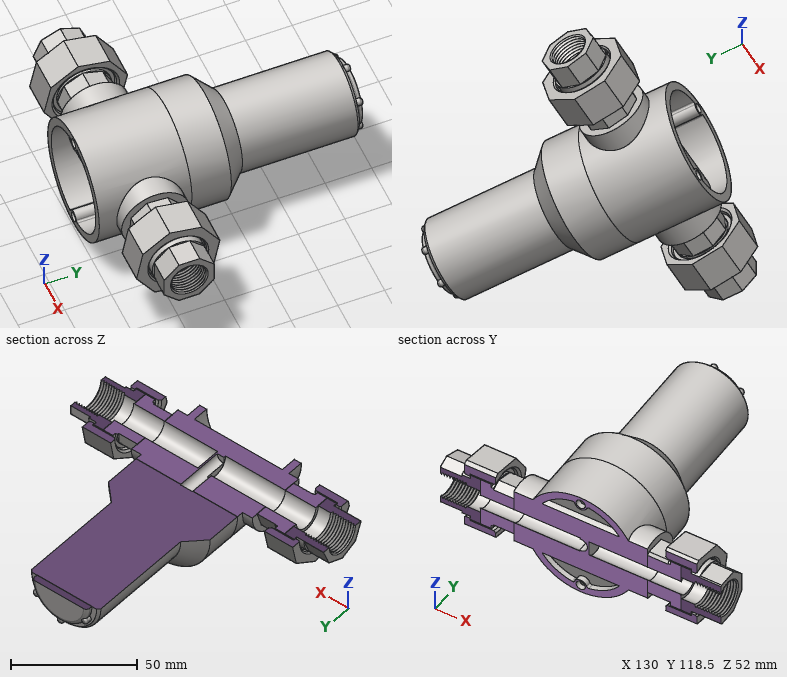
import cadquery as cq
import math


HOUSING_D = 52.0
MOUTH_Y = -22.0
JOINT_Y = 17.7
CAVITY_D = 44.7
CAVITY_DEPTH = 19.5
PORT_D = 29.0
PORT_FACE_X = 31.0
BORE_D = 12.0
INLET_END_X = -0.4
OUTLET_END_X = 3.9
STEM_HOLE_D = 6.0
STEM_HOLE_END_Y = -5.0
SCREW_BOSS_D = 6.0
SCREW_HOLE_D = 4.0
SCREW_Z = 22.4
SCREW_BLEND_R = 0.9

SHOULDER_Y = 34.6
SLEEVE_D = 35.5
SLEEVE_TOP_Y = 93.5
SLEEVE_CHAMFER = 1.2

KNOB_TOP_Y = 96.5
KNOB_D = 28.3
KNOB_ROUNDING = 1.8
GRIP_D = 3.1
GRIP_CIRCLE_R = KNOB_D / 2
GRIP_COUNT = 6
GRIP_ROUNDING = 1.0

SIDES = 8
HUB_OCTAGON_X = 40.3
HUB_COLLAR_X = 41.3
NUT_START_X = 39.3
NUT_END_X = 53.8
TAIL_OCTAGON_X = 55.0
TAIL_END_X = 65.0
SEAT_X = 46.5
LIP_THICKNESS = 2.6
HUB_CORNER_D = 23.5
NUT_CORNER_D = 36.4
COLLAR_D = 23.3
FLANGE_D = 26.5
NUT_BORE_D = 27.2
NUT_OPENING_D = 29.0
LIP_BORE_D = 24.8
LIP_CHAMFER = 0.6
THREAD_MINOR_D = 15.0
THREAD_MAJOR_D = 17.0
THREAD_ENTRY_D = 16.1
THREAD_PITCH = 1.3
THREAD_TURNS = 9

LEFT_TURNS = {"hub": 4.6, "nut": 10.3, "tail": 0.0}
RIGHT_TURNS = {"hub": 18.4, "nut": 11.3, "tail": 22.5}


def rod_x(start, end, diameter):
    """Round rod along X."""
    return cq.Workplane("YZ", origin=(start, 0, 0)).circle(diameter / 2).extrude(end - start)


def rod_y(start, end, diameter, x=0.0, z=0.0):
    """Round rod along Y with its axis at (x, z)."""
    base = cq.Workplane(cq.Plane(origin=(x, start, z), xDir=(1, 0, 0), normal=(0, 1, 0)))
    return base.circle(diameter / 2).extrude(end - start)


def octagon_x(start, end, corner_d, turn):
    """Octagonal bar along X, turned about its axis."""
    bar = cq.Workplane("YZ", origin=(start, 0, 0)).polygon(SIDES, corner_d).extrude(end - start)
    return bar.rotate((0, 0, 0), (1, 0, 0), turn)


def revolve_x(profile):
    """Solid of revolution about X from (x, radius) points."""
    return cq.Workplane("XY").polyline(profile).close().revolve(360, (0, 0, 0), (1, 0, 0))


def make_cavity():
    """Round pocket in the mouth, indented by the two screw bosses."""
    back_y = MOUTH_Y + CAVITY_DEPTH
    cavity = rod_y(MOUTH_Y, back_y, CAVITY_D)
    for z in (-SCREW_Z, SCREW_Z):
        cavity = cavity.cut(rod_y(MOUTH_Y, back_y, SCREW_BOSS_D, z=z))
    return cavity.edges("|Y").fillet(SCREW_BLEND_R)


def make_housing():
    port = rod_x(-PORT_FACE_X, PORT_FACE_X, PORT_D)
    housing = rod_y(MOUTH_Y, JOINT_Y, HOUSING_D).cut(make_cavity()).union(port)
    for z in (-SCREW_Z, SCREW_Z):
        housing = housing.cut(rod_y(MOUTH_Y, MOUTH_Y + CAVITY_DEPTH, SCREW_HOLE_D, z=z))
    housing = housing.cut(rod_x(-PORT_FACE_X, INLET_END_X, BORE_D))
    housing = housing.cut(rod_x(OUTLET_END_X, PORT_FACE_X, BORE_D))
    return housing.cut(rod_y(STEM_HOLE_END_Y, JOINT_Y, STEM_HOLE_D))


def make_bonnet():
    """Shoulder, cone and sleeve, turned about Y."""
    base_r = HOUSING_D / 2
    sleeve_r = SLEEVE_D / 2
    cone_end_y = SHOULDER_Y + base_r - sleeve_r
    profile = [
        (0, JOINT_Y),
        (base_r, JOINT_Y),
        (base_r, SHOULDER_Y),
        (sleeve_r, cone_end_y),
        (sleeve_r, SLEEVE_TOP_Y - SLEEVE_CHAMFER),
        (sleeve_r - SLEEVE_CHAMFER, SLEEVE_TOP_Y),
        (0, SLEEVE_TOP_Y),
    ]
    return cq.Workplane("XY").polyline(profile).close().revolve(360, (0, 0, 0), (0, 1, 0))


def make_knob():
    """Rounded disc with finger grips around its rim."""
    knob = rod_y(SLEEVE_TOP_Y, KNOB_TOP_Y, KNOB_D).faces(">Y").edges().fillet(KNOB_ROUNDING)
    for i in range(GRIP_COUNT):
        angle = math.radians(90 + i * 360 / GRIP_COUNT)
        x = GRIP_CIRCLE_R * math.cos(angle)
        z = GRIP_CIRCLE_R * math.sin(angle)
        grip = rod_y(SLEEVE_TOP_Y, KNOB_TOP_Y, GRIP_D, x, z)
        knob = knob.union(grip.faces(">Y").edges().fillet(GRIP_ROUNDING))
    return knob


def make_hub(turn):
    """Octagonal neck on the port face with a round end inside the nut."""
    hub = octagon_x(PORT_FACE_X, HUB_OCTAGON_X, HUB_CORNER_D, turn)
    hub = hub.union(rod_x(HUB_OCTAGON_X, HUB_COLLAR_X, COLLAR_D))
    hub = hub.union(rod_x(HUB_COLLAR_X, SEAT_X, FLANGE_D))
    return hub.cut(rod_x(PORT_FACE_X, SEAT_X, BORE_D))


def make_nut(turn):
    """Octagonal union nut, open on the hub side and lipped on the tail side."""
    bore_r = NUT_BORE_D / 2
    opening_r = NUT_OPENING_D / 2
    lip_r = LIP_BORE_D / 2
    lip_start_x = NUT_END_X - LIP_THICKNESS
    profile = [
        (NUT_START_X, 0),
        (NUT_START_X, opening_r),
        (NUT_START_X + opening_r - bore_r, bore_r),
        (lip_start_x, bore_r),
        (lip_start_x, lip_r),
        (NUT_END_X - LIP_CHAMFER, lip_r),
        (NUT_END_X, lip_r + LIP_CHAMFER),
        (NUT_END_X, 0),
    ]
    return octagon_x(NUT_START_X, NUT_END_X, NUT_CORNER_D, turn).cut(revolve_x(profile))


def make_threaded_bore():
    """Cutter for the bore of a tail: V-shaped thread rings at the mouth, plain beyond."""
    minor_r = THREAD_MINOR_D / 2
    major_r = THREAD_MAJOR_D / 2
    entry_r = THREAD_ENTRY_D / 2
    thread_start_x = TAIL_END_X - (entry_r - minor_r)
    profile = [(TAIL_END_X, 0), (TAIL_END_X, entry_r), (thread_start_x, minor_r)]
    for i in range(THREAD_TURNS):
        ring_x = thread_start_x - i * THREAD_PITCH
        profile.append((ring_x - THREAD_PITCH / 2, major_r))
        profile.append((ring_x - THREAD_PITCH, minor_r))
    profile += [(SEAT_X, minor_r), (SEAT_X, 0)]
    return revolve_x(profile)


def make_tail(turn):
    """Flanged end piece held by the nut, with a threaded bore."""
    tail = rod_x(SEAT_X, NUT_END_X - LIP_THICKNESS, FLANGE_D)
    tail = tail.union(rod_x(SEAT_X, TAIL_OCTAGON_X, COLLAR_D))
    tail = tail.union(octagon_x(TAIL_OCTAGON_X, TAIL_END_X, COLLAR_D, turn))
    return tail.cut(make_threaded_bore())


housing = make_housing()
bonnet = make_bonnet()
knob = make_knob()

fittings = []
for turns, is_left in ((LEFT_TURNS, True), (RIGHT_TURNS, False)):
    hub = make_hub(turns["hub"])
    nut = make_nut(turns["nut"])
    tail = make_tail(turns["tail"])
    for body in (hub, nut, tail):
        placed = body.mirror("YZ") if is_left else body
        fittings.append(placed.val())

result = cq.Compound.makeCompound([housing.val(), bonnet.val(), knob.val(), *fittings])